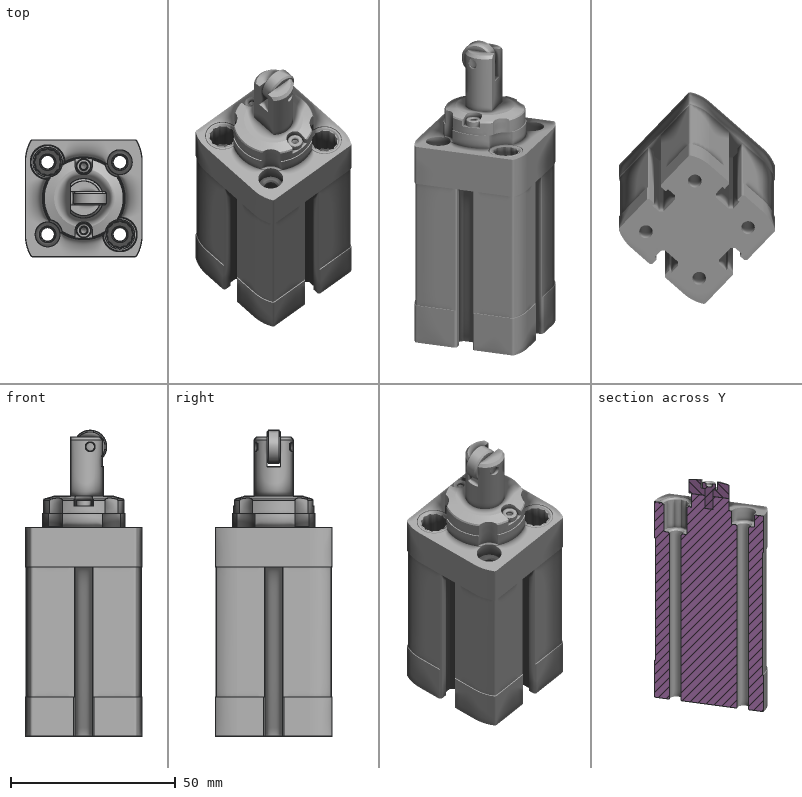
import cadquery as cq
import math

FOOT_TOP = 12.0
HEAD_BOTTOM = 51.5
HEAD_TOP = 63.5
BOSS_TOP = 67.7
COLLAR_RIM = 72.1
COLLAR_TOP = 73.0
TOTAL_HEIGHT = 93.0

HALF_WIDTH = 17.8
TUBE_INSET = 0.3
SIDE_ARC_RADIUS = 13.0
SIDE_ARC_START = 11.1
CORNER_FILLET = 0.8

SLOT_MOUTH_WIDTH = 6.3
SLOT_MOUTH_CHAMFER = 0.6
SLOT_NECK_DEPTH = 2.5
SLOT_UNDERCUT = 0.9
SLOT_SHOULDER_DEPTH = 5.4
SLOT_DEPTH = 6.3

BOSS_DIAMETER = 25.1
COLLAR_DIAMETER = 24.55
COLLAR_FLAT_DIAMETER = 17.9
COLLAR_CHAMFER = 0.5
COLLAR_CHAMFER_WIDTH = 0.3
NOTCH_DIAMETER = 9.0
NOTCH_LEDGE_HEIGHT = 0.3

HOLE_OFFSET = 11.0
HOLE_DIAMETER = 4.1
HOLE_COUNTERSINK_DIAMETER = 5.0
COUNTERBORE_DIAMETER = 7.5
COUNTERBORE_DEPTH = 4.0

SOCKET_RECESS_DIAMETER = 10.5
SOCKET_RIM_DIAMETER = 10.0
SOCKET_GROOVE_DEPTH = 0.5
SOCKET_CHAMFER_DIAMETER = 9.0
SOCKET_CHAMFER_DEPTH = 0.4
SERRATION_OUTER_DIAMETER = 8.2
SERRATION_INNER_DIAMETER = 7.5
SERRATION_COUNT = 12
SERRATION_FLANK_SHARE = 0.35
SOCKET_DEPTH = 9.3

SCREW_OFFSET = 9.8
SCREW_POCKET_WIDTH = 5.2
SCREW_POCKET_FLARE = 0.4
SCREW_SEAT = 69.9
SCREW_HEAD_DIAMETER = 4.5
SCREW_HEAD_HEIGHT = 1.9
SCREW_HEAD_CHAMFER = 0.2
SCREW_SHANK_DIAMETER = 2.5
SCREW_SOCKET_DIAMETER = 2.0
SCREW_SOCKET_SINK_DIAMETER = 2.6
SCREW_SOCKET_DEPTH = 0.9
SCREW_DRILL_TIP = 0.5

ROD_DIAMETER = 12.0
ROD_TIP_DIAMETER = 10.5
ROD_TOP = 91.0
ROD_CHAMFER_HEIGHT = 0.9
ROD_FLAT_X = -4.0
FORK_WIDTH = 4.0
FORK_FLOOR = 81.9

ROLLER_DIAMETER = 10.0
ROLLER_FACE_DIAMETER = 9.0
ROLLER_CHAMFER_WIDTH = 0.5
ROLLER_X = 1.95
ROLLER_Z = TOTAL_HEIGHT - ROLLER_DIAMETER / 2
AXLE_DIAMETER = 3.0
AXLE_LENGTH = 10.0
AXLE_CHAMFER = 0.2


def cylinder(diameter, bottom, top, x=0.0, y=0.0):
    """Upright cylinder between two heights."""
    plane = cq.Workplane("XY", origin=(x, y, bottom))
    return plane.circle(diameter / 2).extrude(top - bottom)


def cone(bottom_diameter, top_diameter, bottom, top, x=0.0, y=0.0):
    """Upright truncated cone between two heights."""
    solid = cq.Solid.makeCone(
        bottom_diameter / 2, top_diameter / 2, top - bottom, cq.Vector(x, y, bottom)
    )
    return cq.Workplane(solid)


def block(inset, bottom, top):
    """Housing section with straight sides, bulging side arcs and rounded corners."""
    half = HALF_WIDTH - inset
    radius = SIDE_ARC_RADIUS - inset
    center_x = half - radius
    end_angle = math.asin((half - SIDE_ARC_START) / radius)

    def arc_point(angle, x_sign, y_sign):
        x = center_x + radius * math.cos(angle)
        y = SIDE_ARC_START + radius * math.sin(angle)
        return (x_sign * x, y_sign * y)

    middle = end_angle / 2
    outline = (
        cq.Workplane("XY", origin=(0, 0, bottom))
        .moveTo(half, -SIDE_ARC_START)
        .lineTo(half, SIDE_ARC_START)
        .threePointArc(arc_point(middle, 1, 1), arc_point(end_angle, 1, 1))
        .lineTo(*arc_point(end_angle, -1, 1))
        .threePointArc(arc_point(middle, -1, 1), (-half, SIDE_ARC_START))
        .lineTo(-half, -SIDE_ARC_START)
        .threePointArc(arc_point(middle, -1, -1), arc_point(end_angle, -1, -1))
        .lineTo(*arc_point(end_angle, 1, -1))
        .threePointArc(arc_point(middle, 1, -1), (half, -SIDE_ARC_START))
        .close()
    )
    solid = outline.extrude(top - bottom)
    return solid.edges("|Z and (>Y or <Y)").fillet(CORNER_FILLET)


def side_slots():
    """Undercut slots along the middle of each side, open at the foot."""
    mouth = SLOT_MOUTH_WIDTH / 2
    neck = mouth - SLOT_MOUTH_CHAMFER
    wide = neck + SLOT_UNDERCUT
    floor = wide - (SLOT_DEPTH - SLOT_SHOULDER_DEPTH)
    half_outline = [
        (HALF_WIDTH, mouth),
        (HALF_WIDTH - SLOT_MOUTH_CHAMFER, neck),
        (HALF_WIDTH - SLOT_NECK_DEPTH, neck),
        (HALF_WIDTH - SLOT_NECK_DEPTH, wide),
        (HALF_WIDTH - SLOT_SHOULDER_DEPTH, wide),
        (HALF_WIDTH - SLOT_DEPTH, floor),
    ]
    mirrored = [(x, -y) for x, y in reversed(half_outline)]
    slot = cq.Workplane("XY").polyline(half_outline + mirrored).close().extrude(HEAD_BOTTOM)
    slots = cq.Workplane("XY")
    for turn in range(4):
        slots = slots.add(slot.rotate((0, 0, 0), (0, 0, 1), 90 * turn))
    return slots.combine()


def serrated_bore(x, y, bottom, top):
    """Bore whose wall is a ring of ribs with sloping flanks and narrow crests."""
    pitch = 2 * math.pi / SERRATION_COUNT

    def point(diameter, angle):
        return (diameter / 2 * math.cos(angle), diameter / 2 * math.sin(angle))

    points = []
    for rib in range(SERRATION_COUNT):
        points.append(point(SERRATION_OUTER_DIAMETER, rib * pitch))
        points.append(point(SERRATION_INNER_DIAMETER, (rib + SERRATION_FLANK_SHARE) * pitch))
        points.append(point(SERRATION_INNER_DIAMETER, (rib + 1 - SERRATION_FLANK_SHARE) * pitch))
    plane = cq.Workplane("XY", origin=(x, y, bottom))
    return plane.polyline(points).close().extrude(top - bottom)


def cut_mounting_hole(body, x, y, floor):
    """Through hole with a countersink at the floor of the wider bore above it."""
    sink_depth = (HOLE_COUNTERSINK_DIAMETER - HOLE_DIAMETER) / 2
    body = body.cut(cylinder(HOLE_DIAMETER, 0, floor, x, y))
    return body.cut(cone(HOLE_DIAMETER, HOLE_COUNTERSINK_DIAMETER, floor - sink_depth, floor, x, y))


def cut_plain_corner(body, x, y):
    """Notch beside the boss and a counterbored through hole."""
    floor = HEAD_TOP - COUNTERBORE_DEPTH
    body = body.cut(cylinder(NOTCH_DIAMETER, HEAD_TOP + NOTCH_LEDGE_HEIGHT, BOSS_TOP, x, y))
    body = body.cut(cylinder(COUNTERBORE_DIAMETER, floor, BOSS_TOP, x, y))
    return cut_mounting_hole(body, x, y, floor)


def cut_socket_corner(body, x, y):
    """Notch beside the boss, a grooved rim and a serrated socket above a through hole."""
    floor = HEAD_TOP - SOCKET_DEPTH
    groove_bottom = HEAD_TOP - SOCKET_GROOVE_DEPTH
    groove = cylinder(SOCKET_RECESS_DIAMETER, groove_bottom, HEAD_TOP, x, y).cut(
        cone(SOCKET_RECESS_DIAMETER, SOCKET_RIM_DIAMETER, groove_bottom, HEAD_TOP, x, y)
    )
    chamfer = cone(
        SERRATION_OUTER_DIAMETER, SOCKET_CHAMFER_DIAMETER, HEAD_TOP - SOCKET_CHAMFER_DEPTH, HEAD_TOP, x, y
    )
    body = body.cut(cylinder(SOCKET_RECESS_DIAMETER, HEAD_TOP, BOSS_TOP, x, y))
    body = body.cut(groove).cut(chamfer).cut(serrated_bore(x, y, floor, HEAD_TOP))
    return cut_mounting_hole(body, x, y, floor)


def make_collar():
    """Cone-topped collar with four round notches, two screw pockets and the rod bore."""
    rim_diameter = COLLAR_DIAMETER - 2 * COLLAR_CHAMFER_WIDTH
    chamfer_bottom = COLLAR_RIM - COLLAR_CHAMFER
    collar = cylinder(COLLAR_DIAMETER, BOSS_TOP, chamfer_bottom)
    collar = collar.union(cone(COLLAR_DIAMETER, rim_diameter, chamfer_bottom, COLLAR_RIM))
    collar = collar.union(cone(rim_diameter, COLLAR_FLAT_DIAMETER, COLLAR_RIM, COLLAR_TOP))
    for x in (-HOLE_OFFSET, HOLE_OFFSET):
        for y in (-HOLE_OFFSET, HOLE_OFFSET):
            collar = collar.cut(cylinder(NOTCH_DIAMETER, BOSS_TOP, COLLAR_TOP, x, y))
    for side in (-1, 1):
        collar = collar.cut(screw_pocket(side)).cut(screw_hole(side))
    return collar.cut(rod_blank(COLLAR_TOP))


def screw_pocket(side):
    """Round pocket for a screw head with straight sides that flare at the collar rim."""
    half = SCREW_POCKET_WIDTH / 2
    flare = half + SCREW_POCKET_FLARE
    rim = math.sqrt((COLLAR_DIAMETER / 2) ** 2 - flare**2)
    outline = (
        cq.Workplane("XY", origin=(0, 0, SCREW_SEAT))
        .moveTo(half, side * SCREW_OFFSET)
        .threePointArc((0, side * (SCREW_OFFSET - half)), (-half, side * SCREW_OFFSET))
        .lineTo(-half, side * (rim - SCREW_POCKET_FLARE))
        .lineTo(-flare, side * rim)
        .lineTo(-flare, side * COLLAR_DIAMETER / 2)
        .lineTo(flare, side * COLLAR_DIAMETER / 2)
        .lineTo(flare, side * rim)
        .lineTo(half, side * (rim - SCREW_POCKET_FLARE))
        .close()
    )
    return outline.extrude(COLLAR_TOP - SCREW_SEAT)


def screw_hole(side):
    """Bore for a screw shank, from the seat down through the boss."""
    return cylinder(SCREW_SHANK_DIAMETER, HEAD_TOP, SCREW_SEAT, 0, side * SCREW_OFFSET)


def make_housing():
    """Square housing with its boss, corner holes, rod bore and screw holes."""
    tube = block(TUBE_INSET, FOOT_TOP, HEAD_BOTTOM)
    body = block(0, 0, FOOT_TOP).union(tube).union(block(0, HEAD_BOTTOM, HEAD_TOP))
    body = body.cut(side_slots())
    body = body.union(cylinder(BOSS_DIAMETER, HEAD_TOP, BOSS_TOP))
    for side in (-1, 1):
        body = cut_plain_corner(body, side * HOLE_OFFSET, side * HOLE_OFFSET)
        body = cut_socket_corner(body, -side * HOLE_OFFSET, side * HOLE_OFFSET)
        body = body.cut(screw_hole(side))
    return body.cut(rod_blank(COLLAR_TOP))


def make_screw(side):
    """Socket head screw that clamps the collar."""
    y = side * SCREW_OFFSET
    head_top = SCREW_SEAT + SCREW_HEAD_HEIGHT
    socket_bottom = head_top - SCREW_SOCKET_DEPTH
    head = cylinder(SCREW_HEAD_DIAMETER, SCREW_SEAT, head_top, 0, y)
    head = head.faces(">Z").edges().chamfer(SCREW_HEAD_CHAMFER)
    screw = head.union(screw_hole(side))
    sink_depth = (SCREW_SOCKET_SINK_DIAMETER - SCREW_SOCKET_DIAMETER) / 2
    sink = cone(SCREW_SOCKET_DIAMETER, SCREW_SOCKET_SINK_DIAMETER, head_top - sink_depth, head_top, 0, y)
    screw = screw.cut(sink)
    screw = screw.cut(cylinder(SCREW_SOCKET_DIAMETER, socket_bottom, head_top, 0, y))
    return screw.cut(cone(0, SCREW_SOCKET_DIAMETER, socket_bottom - SCREW_DRILL_TIP, socket_bottom, 0, y))


def rod_blank(top):
    """Round bar with one flat side, standing on the underside of the housing head."""
    flat = cq.Workplane("XY", origin=(ROD_FLAT_X - ROD_DIAMETER / 2, 0, HEAD_BOTTOM))
    flat = flat.rect(ROD_DIAMETER, 2 * ROD_DIAMETER).extrude(top - HEAD_BOTTOM)
    return cylinder(ROD_DIAMETER, HEAD_BOTTOM, top).cut(flat)


def make_rod():
    """Piston rod with a chamfered tip, a fork for the roller and a cross hole for the axle."""
    shoulder = ROD_TOP - ROD_CHAMFER_HEIGHT
    tip = cone(ROD_DIAMETER, ROD_TIP_DIAMETER, shoulder, ROD_TOP)
    envelope = cylinder(ROD_DIAMETER, HEAD_BOTTOM, shoulder).union(tip)
    fork = cq.Workplane("XY", origin=(0, 0, FORK_FLOOR))
    fork = fork.rect(2 * ROD_DIAMETER, FORK_WIDTH).extrude(ROD_TOP - FORK_FLOOR)
    return rod_blank(ROD_TOP).intersect(envelope).cut(fork).cut(cross_cylinder(AXLE_DIAMETER, ROD_DIAMETER))


def cross_cylinder(diameter, length):
    """Cylinder along Y on the roller axis, centred on the rod."""
    plane = cq.Workplane("XZ", origin=(ROLLER_X, length / 2, ROLLER_Z))
    return plane.circle(diameter / 2).extrude(length)


def make_roller():
    """Roller that fills the fork, with chamfered rims and an axle stub on each side."""
    rim_height = (ROLLER_DIAMETER - ROLLER_FACE_DIAMETER) / 2
    wheel = cross_cylinder(ROLLER_DIAMETER, FORK_WIDTH)
    wheel = wheel.faces("<Y or >Y").edges().chamfer(ROLLER_CHAMFER_WIDTH, rim_height)
    axle = cross_cylinder(AXLE_DIAMETER, AXLE_LENGTH).faces("<Y or >Y").edges().chamfer(AXLE_CHAMFER)
    return wheel.union(axle)


housing = make_housing()
collar = make_collar()
rod = make_rod()
roller = make_roller()
screws = [make_screw(side) for side in (-1, 1)]

result = cq.Compound.makeCompound(
    [housing.val(), collar.val(), rod.val(), roller.val(), *[screw.val() for screw in screws]]
)